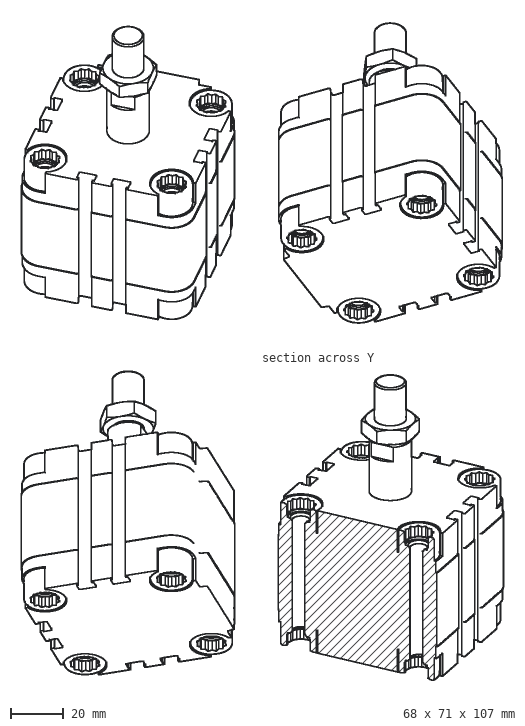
import cadquery as cq
import math

total_height = 107.0
housing_height = 60.6
barrel_bottom = 14.7
barrel_top = 46.0

barrel_half_width = 34.0
end_half_width = 33.7
back_y = 33.8
bolt_offset = 25.0

barrel_rail_y = 37.0
rail_half_width_base = 17.3
rail_half_width_outer = 16.8

edge_fillet = 0.4

slot_offset = 6.7
slot_mouth_width = 5.5
slot_inner_width = 6.8
slot_lip_depth = 32.3
slot_floor = 29.0

head_radius = 7.9
pocket_radius = 8.2
head_height = 9.6
head_fillet = 0.9
head_notch_inset = 2.8
rim_radius = 6.5
rim_dip = 0.1
socket_mouth_radius = 6.1
socket_mouth_depth = 0.5
socket_bore_radius = 5.0
socket_across_flats = 9.8
socket_depth = 4.8
socket_bore_depth = 5.8
hole_mouth_radius = 4.01
hole_radius = 3.3
hole_cone_depth = 1.1

rod_diameter = 16.0
rod_shoulder_z = 83.0
wrench_flat_width = 13.1
wrench_flat_height = 6.0
undercut_diameter = 10.7
thread_diameter = 12.0
thread_chamfer = 0.6

nut_across_flats = 19.0
nut_bottom_z = 85.0
nut_height = 6.2
nut_chamfer_angle = 20.0

corners = [(x, y) for x in (-bolt_offset, bolt_offset) for y in (-bolt_offset, bolt_offset)]


def housing_section(half_width, rail_y, bottom, top):
    """Length of housing between two heights, with its rail, slots and rounded edges."""
    section = (
        cq.Workplane("XY", origin=(0, 0, bottom))
        .polyline([
            (-half_width, -half_width),
            (-half_width, back_y),
            (-rail_half_width_base, back_y),
            (-rail_half_width_outer, rail_y),
            (rail_half_width_outer, rail_y),
            (rail_half_width_base, back_y),
            (half_width, back_y),
            (half_width, -half_width),
        ])
        .close()
        .extrude(top - bottom)
    )
    section = section.edges("|Z").edges("<X or >X").fillet(half_width - bolt_offset)
    for turn in (-90, 0, 90):
        for offset in (-slot_offset, slot_offset):
            slot = slot_cutter().translate((offset, 0, 0))
            section = section.cut(slot.rotate((0, 0, 0), (0, 0, 1), turn))

    def on_rail_or_slot_mouth(edge):
        x, y = abs(edge.Center().x), abs(edge.Center().y)
        return max(x, y) > half_width - edge_fillet and min(x, y) < bolt_offset - edge_fillet

    return section.edges("|Z").filter(on_rail_or_slot_mouth).fillet(edge_fillet)


def slot_cutter():
    """T-slot through the full height, opening toward -Y at x = 0."""
    mouth = cq.Workplane("XY").center(0, -(slot_floor + barrel_rail_y) / 2)
    mouth = mouth.rect(slot_mouth_width, barrel_rail_y - slot_floor).extrude(housing_height)
    inner = cq.Workplane("XY").center(0, -(slot_floor + slot_lip_depth) / 2)
    inner = inner.rect(slot_inner_width, slot_lip_depth - slot_floor).extrude(housing_height)
    inner = inner.edges("|Z and >Y").fillet(edge_fillet)
    return mouth.union(inner)


def corner_notch():
    """Square notch outside the bolt head at the (+X, +Y) corner, at the top end."""
    low = bolt_offset - head_notch_inset
    size = barrel_half_width - low
    notch = cq.Workplane("XY").box(size, size, head_height, centered=False)
    return notch.translate((low, low, housing_height - head_height))


def bolt_head():
    """Round head with a rounded rim, standing on z = 0."""
    head = cq.Workplane("XY").circle(head_radius).extrude(head_height)
    return head.faces(">Z").edges().fillet(head_fillet)


def bolt_socket():
    """Twelve-point socket, bore and conical hole mouth below a head top at z = 0."""
    bore = (
        cq.Workplane("XZ")
        .polyline([
            (0, 0),
            (rim_radius, 0),
            (socket_mouth_radius, -rim_dip),
            (socket_bore_radius, -rim_dip - socket_mouth_depth),
            (socket_bore_radius, -socket_bore_depth),
            (hole_mouth_radius, -socket_bore_depth),
            (hole_radius, -socket_bore_depth - hole_cone_depth),
            (0, -socket_bore_depth - hole_cone_depth),
        ])
        .close()
        .revolve(360, (0, 0, 0), (0, 1, 0))
    )
    hexagon_diameter = socket_across_flats / math.cos(math.pi / 6)
    hexagon = cq.Workplane("XY").polygon(6, hexagon_diameter).extrude(-socket_depth)
    return bore.union(hexagon).union(hexagon.rotate((0, 0, 0), (0, 0, 1), 30))


def top_and_bottom(shape):
    """The shape, made at the top of the housing, and its mirror image at the bottom."""
    return [shape, shape.mirror("XY", (0, 0, housing_height / 2))]


def make_housing():
    """Barrel, both ends and the eight corner bolt heads, in one piece."""
    housing = housing_section(barrel_half_width, barrel_rail_y, barrel_bottom, barrel_top)
    end_rail_y = barrel_rail_y - (barrel_half_width - end_half_width)
    for bottom, top in [(0, barrel_bottom), (barrel_top, housing_height)]:
        housing = housing.union(housing_section(end_half_width, end_rail_y, bottom, top))

    pocket = cq.Workplane("XY").circle(pocket_radius).extrude(head_height)
    head_bottom = housing_height - head_height
    for turn in (0, 90, 180, 270):
        for notch in top_and_bottom(corner_notch()):
            housing = housing.cut(notch.rotate((0, 0, 0), (0, 0, 1), turn))
    for x, y in corners:
        for recess in top_and_bottom(pocket.translate((x, y, head_bottom))):
            housing = housing.cut(recess)
        for head in top_and_bottom(bolt_head().translate((x, y, head_bottom))):
            housing = housing.union(head)
        for socket in top_and_bottom(bolt_socket().translate((x, y, housing_height))):
            housing = housing.cut(socket)
    through_holes = cq.Workplane("XY").pushPoints(corners).circle(hole_radius).extrude(housing_height)
    return housing.cut(through_holes)


def make_rod():
    """Piston rod standing on the housing, with wrench flats, undercut and plain thread."""
    rod = cq.Workplane("XY", origin=(0, 0, housing_height)).circle(rod_diameter / 2)
    rod = rod.extrude(rod_shoulder_z - housing_height)
    flats = (
        cq.Workplane("XY", origin=(0, 0, rod_shoulder_z))
        .rect(rod_diameter, rod_diameter)
        .rect(rod_diameter, wrench_flat_width)
        .extrude(-wrench_flat_height)
    )
    undercut = cq.Workplane("XY", origin=(0, 0, rod_shoulder_z)).circle(undercut_diameter / 2)
    undercut = undercut.extrude(nut_bottom_z - rod_shoulder_z)
    thread = cq.Workplane("XY", origin=(0, 0, nut_bottom_z)).circle(thread_diameter / 2)
    thread = thread.extrude(total_height - nut_bottom_z).faces(">Z").chamfer(thread_chamfer)
    return rod.cut(flats).union(undercut).union(thread)


def make_nut():
    """Hexagon nut with corners toward +Y and -Y, chamfered at both ends."""
    corner_radius = nut_across_flats / 2 / math.cos(math.pi / 6)
    flat_radius = nut_across_flats / 2
    drop = (corner_radius - flat_radius) * math.tan(math.radians(nut_chamfer_angle))
    blank = cq.Workplane("XY").polygon(6, 2 * corner_radius).extrude(nut_height)
    blank = blank.rotate((0, 0, 0), (0, 0, 1), 30)
    envelope = (
        cq.Workplane("XZ")
        .polyline([
            (thread_diameter / 2, 0),
            (flat_radius, 0),
            (corner_radius, drop),
            (corner_radius, nut_height - drop),
            (flat_radius, nut_height),
            (thread_diameter / 2, nut_height),
        ])
        .close()
        .revolve(360, (0, 0, 0), (0, 1, 0))
    )
    return blank.intersect(envelope).translate((0, 0, nut_bottom_z))


housing = make_housing()
rod = make_rod()
nut = make_nut()

result = cq.Compound.makeCompound([housing.val(), rod.val(), nut.val()])